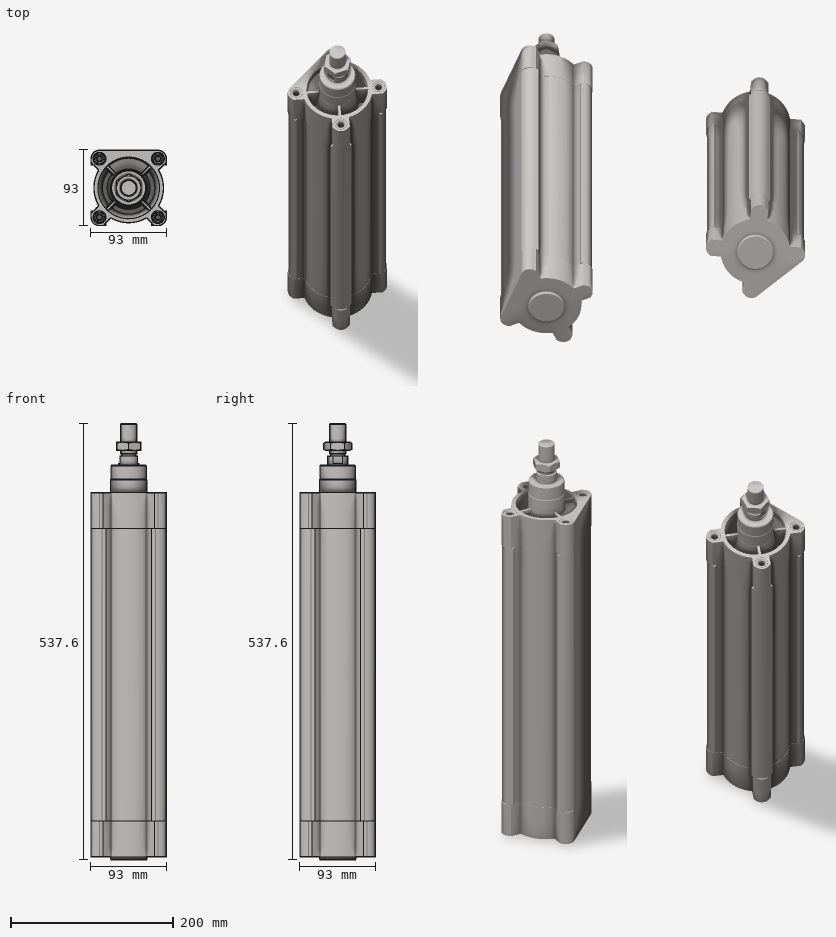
import cadquery as cq
import math

total_height = 537.6
tail_collar_height = 4.0
body_length = 448.6
cap_height = 44.0
barrel_length = body_length - 2 * cap_height
barrel_bottom = tail_collar_height + cap_height
barrel_top = barrel_bottom + barrel_length
body_top = tail_collar_height + body_length

body_width = 93.0
half_width = body_width / 2
screw_pitch = 72.0
screw_offset = screw_pitch / 2
cap_lobe_radius = half_width - screw_offset
barrel_lobe_radius = 13.5
cap_round_radius = 43.0
barrel_round_radius = 42.7
cap_side_offset = 15.0
barrel_side_offset = 14.5
cap_lobe_edge = half_width - cap_side_offset
barrel_lobe_edge = 28.2
root_fillet = 1.0

collar_diameter = 45.0
collar_height = 16.6
nose_diameter = 44.0
nose_height = 17.4
collar_edge_height = 1.2
nose_chamfer = 1.0
tail_chamfer = 1.2
nose_top = body_top + collar_height + nose_height

recess_top_radius = 38.0
recess_floor_radius = 32.2
hub_floor_radius = 26.5
recess_depth = 30.0
shallow_depth = 7.0
rib_floor_width = 6.0
rib_draft_angle = 3.0
rib_drop = 1.5

screw_bore_diameter = 15.8
screw_head_diameter = 15.0
screw_thread_diameter = 8.38
screw_thread_depth = 20.0
screw_thread_chamfer = 1.8
key_socket_width = 6.0
key_socket_depth = 5.0
screw_groove_depth = 3.0

rod_diameter = 25.0
thread_diameter = 20.0
thread_length = 40.0
thread_chamfer = 0.8
undercut_diameter = 17.9
undercut_height = 2.5
wrench_width = 22.0
wrench_flat_height = 9.0
rod_bottom = barrel_top
shoulder_z = total_height - thread_length
nut_width = 30.0
nut_height = 10.0
nut_top = total_height - 22.8
nut_bottom = nut_top - nut_height
nut_face_diameter = nut_width
nut_chamfer_angle = 30.0


def plane_at(z):
    return cq.Workplane("XY").workplane(offset=z)


def disc(z, diameter, height):
    return plane_at(z).circle(diameter / 2).extrude(height)


def ring(radius_profile):
    """Solid of revolution about Z from (radius, z) points."""
    return cq.Workplane("XZ").polyline(radius_profile).close().revolve(360, (0, 0, 0), (0, 1, 0))


def lobed_section(z, height, round_radius, lobe_radius, side_offset, side_points):
    """Round section with four corner lobes and a full flat on the +Y side."""
    section = disc(z, 2 * round_radius, height)
    arc_center = half_width - lobe_radius
    arc_mid = arc_center + lobe_radius * math.sqrt(0.5)
    lobe = plane_at(z).moveTo(0, side_offset)
    for x, y in side_points:
        lobe = lobe.lineTo(x, y)
    lobe = lobe.lineTo(arc_center, half_width)
    lobe = lobe.threePointArc((arc_mid, arc_mid), (half_width, arc_center))
    for x, y in reversed(side_points):
        lobe = lobe.lineTo(y, x)
    lobe = lobe.lineTo(side_offset, 0).lineTo(0, 0).close().extrude(height)
    for corner in range(4):
        section = section.union(lobe.rotate((0, 0, 0), (0, 0, 1), 90 * corner))
    flat_side = plane_at(z).center(0, half_width / 2).rect(2 * screw_offset, half_width).extrude(height)
    section = section.union(flat_side)
    root_x = (math.sqrt(2 * round_radius**2 - side_offset**2) - side_offset) / 2
    root_y = root_x + side_offset
    roots = [(sx * root_x, -root_y) for sx in (-1, 1)]
    roots += [(sx * root_y, sy * root_x) for sx in (-1, 1) for sy in (-1, 1)]
    for x, y in roots:
        root_edge = cq.selectors.NearestToPointSelector((x, y, z + height / 2))
        section = section.edges(root_edge).fillet(root_fillet)
    return section


def make_recess():
    """Tapered ring pocket, interrupted by four diagonal ribs and shallow on the +Y side."""
    floor_z = body_top - recess_depth
    recess = ring([
        (collar_diameter / 2, body_top),
        (recess_top_radius, body_top),
        (recess_floor_radius, floor_z),
        (hub_floor_radius, floor_z),
    ])
    rib_height = recess_depth - rib_drop
    for angle in (45, 135):
        rib = plane_at(floor_z).rect(body_width, rib_floor_width).extrude(rib_height, taper=rib_draft_angle)
        recess = recess.cut(rib.rotate((0, 0, 0), (0, 0, 1), angle))
    reach = 2 * recess_top_radius
    shallow_fill = (
        plane_at(floor_z)
        .polyline([(0, 0), (reach, reach), (-reach, reach)]).close()
        .extrude(recess_depth - shallow_depth)
    )
    return recess.cut(shallow_fill)


def make_screw_cut():
    """Clearance groove around a screw head plus the threaded hole and key socket inside it."""
    cut = disc(body_top - screw_groove_depth, screw_bore_diameter, screw_groove_depth)
    cut = cut.cut(disc(body_top - screw_groove_depth, screw_head_diameter, screw_groove_depth))
    thread_radius = screw_thread_diameter / 2
    thread = ring([
        (0, body_top),
        (thread_radius + screw_thread_chamfer, body_top),
        (thread_radius, body_top - screw_thread_chamfer),
        (thread_radius, body_top - screw_thread_depth),
        (0, body_top - screw_thread_depth),
    ])
    key_socket = plane_at(body_top - screw_thread_depth - key_socket_depth)
    key_socket = key_socket.polygon(6, key_socket_width, circumscribed=True).extrude(key_socket_depth)
    return cut.union(thread).union(key_socket)


def make_housing():
    cap_sides = [(cap_lobe_edge, half_width)]
    barrel_sides = [(barrel_lobe_edge, barrel_lobe_edge + barrel_side_offset), (barrel_lobe_edge, half_width)]
    housing = lobed_section(
        barrel_bottom, barrel_length, barrel_round_radius,
        barrel_lobe_radius, barrel_side_offset, barrel_sides,
    )
    for cap_z in (tail_collar_height, barrel_top):
        cap = lobed_section(
            cap_z, cap_height, cap_round_radius, cap_lobe_radius, cap_side_offset, cap_sides
        )
        housing = housing.union(cap)
    housing = housing.cut(make_recess())
    tail_collar = disc(0, collar_diameter, tail_collar_height).faces("<Z").chamfer(tail_chamfer)
    collar_step = (collar_diameter - nose_diameter) / 2
    collar = disc(body_top, collar_diameter, collar_height)
    collar = collar.faces(">Z").chamfer(collar_edge_height, collar_step)
    nose = disc(body_top + collar_height, nose_diameter, nose_height).faces(">Z").chamfer(nose_chamfer)
    housing = housing.union(tail_collar).union(collar).union(nose)
    for x in (-screw_offset, screw_offset):
        for y in (-screw_offset, screw_offset):
            housing = housing.cut(make_screw_cut().translate((x, y, 0)))
    return housing.cut(disc(rod_bottom, rod_diameter, nose_top - rod_bottom))


def make_rod():
    rod = disc(rod_bottom, rod_diameter, shoulder_z - rod_bottom)
    flat_depth = (rod_diameter - wrench_width) / 2
    for side in (-1, 1):
        flat = plane_at(shoulder_z - wrench_flat_height)
        flat = flat.center(side * (wrench_width + flat_depth) / 2, 0).rect(flat_depth, rod_diameter)
        rod = rod.cut(flat.extrude(wrench_flat_height))
    undercut = disc(shoulder_z, undercut_diameter, undercut_height)
    thread = disc(shoulder_z + undercut_height, thread_diameter, thread_length - undercut_height)
    return rod.union(undercut).union(thread.faces("<Z or >Z").chamfer(thread_chamfer))


def make_nut():
    corner_radius = nut_width / math.sqrt(3)
    face_radius = nut_face_diameter / 2
    chamfer_drop = (corner_radius - face_radius) * math.tan(math.radians(nut_chamfer_angle))
    hexagon = plane_at(nut_bottom).polygon(6, 2 * corner_radius).extrude(nut_height)
    hexagon = hexagon.rotate((0, 0, 0), (0, 0, 1), 30)
    envelope = ring([
        (0, nut_bottom),
        (face_radius, nut_bottom),
        (corner_radius, nut_bottom + chamfer_drop),
        (corner_radius, nut_top - chamfer_drop),
        (face_radius, nut_top),
        (0, nut_top),
    ])
    return hexagon.intersect(envelope).cut(disc(nut_bottom, thread_diameter, nut_height))


housing = make_housing()
piston_rod = make_rod()
lock_nut = make_nut()
result = cq.Compound.makeCompound([housing.val(), piston_rod.val(), lock_nut.val()])